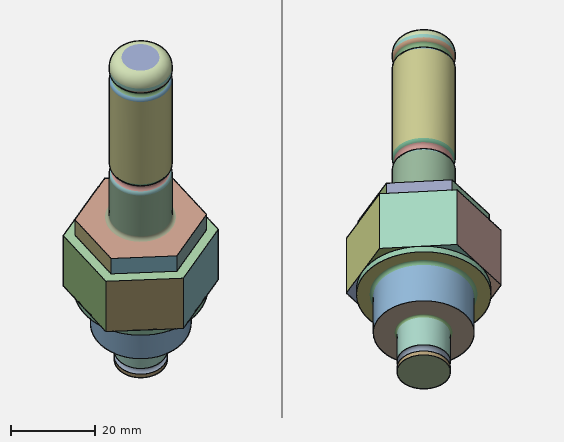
import cadquery as cq
import math

total_height = 101.0
tip_top = 12.0
body_top = 23.8
flange_top = 25.6
large_hex_top = 42.4
small_hex_top = 47.6

tip_radius = 6.4
body_radius = 12.0
flange_radius = 32.0 / 2
stem_radius = 15.0 / 2
dome_radius = 3.0

large_hex_flats = 32.0
small_hex_flats = 27.2

tip_flare = 0.5
body_flare = 0.8
stem_flare = 0.9

tip_groove_bottom = 1.2
tip_groove_width = 1.9
tip_groove_depth = 0.9
stem_groove_depth = 1.0
stem_groove_lip = 0.9
lower_groove_height = 64.0
lower_groove_floor_width = 1.9
upper_groove_height = 95.2
upper_groove_floor_width = 1.6


def cylinder(radius, bottom, top):
    return cq.Workplane("XY").workplane(offset=bottom).circle(radius).extrude(top - bottom)


def hexagon(across_flats, bottom, top):
    across_corners = across_flats / math.cos(math.pi / 6)
    return cq.Workplane("XY").workplane(offset=bottom).polygon(6, across_corners).extrude(top - bottom)


def flare(radius, shoulder, size, direction):
    """Ring with a concave quarter-round face; direction is +1 above the shoulder, -1 below it."""
    inset = size * (1 - math.sqrt(0.5))
    profile = (
        cq.Workplane("XZ")
        .moveTo(0, shoulder)
        .lineTo(radius + size, shoulder)
        .threePointArc((radius + inset, shoulder + direction * inset), (radius, shoulder + direction * size))
        .lineTo(0, shoulder + direction * size)
        .close()
    )
    return profile.revolve(360, (0, 0), (0, 1))


def tip_groove():
    top = tip_groove_bottom + tip_groove_width
    middle = tip_groove_bottom + tip_groove_width / 2
    profile = (
        cq.Workplane("XZ")
        .moveTo(tip_radius, tip_groove_bottom)
        .threePointArc((tip_radius - tip_groove_depth, middle), (tip_radius, top))
        .close()
    )
    return profile.revolve(360, (0, 0), (0, 1))


def stem_groove(middle, floor_width):
    """Groove whose round floor runs smoothly into rounded lips."""
    half_floor = floor_width / 2
    half_width = half_floor + stem_groove_lip
    lip_drop = stem_groove_depth * stem_groove_lip / half_width
    lip_radius = (stem_groove_lip**2 + lip_drop**2) / (2 * lip_drop)
    joint_radius = stem_radius - lip_drop
    profile = (
        cq.Workplane("XZ")
        .moveTo(stem_radius, middle - half_width)
        .radiusArc((joint_radius, middle - half_floor), -lip_radius)
        .threePointArc(
            (stem_radius - stem_groove_depth, middle),
            (joint_radius, middle + half_floor),
        )
        .radiusArc((stem_radius, middle + half_width), -lip_radius)
        .close()
    )
    return profile.revolve(360, (0, 0), (0, 1))


tip = cylinder(tip_radius, 0, tip_top).cut(tip_groove())
tip = tip.union(flare(tip_radius, tip_top, tip_flare, -1))
body = cylinder(body_radius, tip_top, body_top)
body = body.union(flare(body_radius, body_top, body_flare, -1))
flange = cylinder(flange_radius, body_top, flange_top)

large_hex = hexagon(large_hex_flats, flange_top, large_hex_top)
small_hex = hexagon(small_hex_flats, large_hex_top, small_hex_top)

stem = cylinder(stem_radius, small_hex_top, total_height).faces(">Z").edges().fillet(dome_radius)
stem = stem.cut(stem_groove(lower_groove_height, lower_groove_floor_width))
stem = stem.cut(stem_groove(upper_groove_height, upper_groove_floor_width))
stem = stem.union(flare(stem_radius, small_hex_top, stem_flare, 1))

result = tip.union(body).union(flange).union(large_hex).union(small_hex).union(stem)